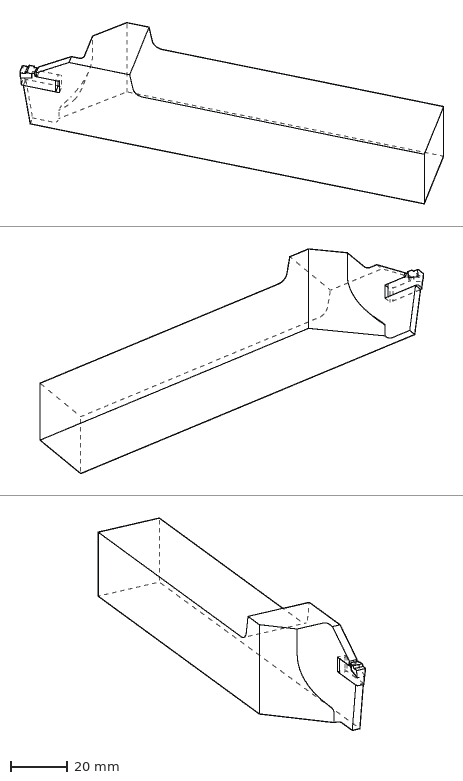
import cadquery as cq
import math

LENGTH = 149.9
SHANK = 25.0
HEIGHT = 35.0
BLADE_WIDTH = 3.1

BASE_START = 3.9
FRONT_EDGE_X = 1.3
NOSE_X = 6.0
NOSE_Z = 26.2
TOP_START = 18.3
TOP_END = 40.8
HEEL_X = 42.6
HEEL_RADIUS = 3.7

SLOT_FLOOR = 18.7
SLOT_ROOF = 24.5
SLOT_END = 14.7
SLOT_MOUTH_X = 6.5

WALL_X = 22.6
WALL_RADIUS = 25.0
RUNOUT_RADIUS = 3.0
RUNOUT_ANGLE = math.radians(49)
ROOT_RADIUS = 1.5
BEVEL = 32.5

TIP_RELIEF = 0.5
INSERT_END = 13.3
TIP_OVERHANG = 0.3
TIP_WIDTH = 3.9
TIP_LENGTH = 4.5
TIP_FRONT_DEPTH = 3.0
TIP_BACK_Z = 23.4
EDGE_Z = 25.0
CREST_Z = 25.8
CREST_START = 2.7
CHIP_FLOOR_END = 2.0
CREST_END = 5.4
SHOULDER_X = 5.7
TIP_FLUSH_Z = 21.9
CORNER_RADIUS = 0.6

MARGIN = 1.5


def extrude_along_y(outline, start, width):
    """Extrude an XZ outline from Y = start toward +Y."""
    return outline.extrude(-width).translate((0, start, 0))


def make_blank():
    """Shank and raised head, with the insert slot open at the front."""
    outline = (
        cq.Workplane("XZ")
        .moveTo(BASE_START, 0)
        .lineTo(LENGTH, 0)
        .lineTo(LENGTH, SHANK)
        .lineTo(HEEL_X, SHANK)
        .lineTo(TOP_END, HEIGHT)
        .lineTo(TOP_START, HEIGHT)
        .lineTo(NOSE_X, NOSE_Z)
        .lineTo(SLOT_MOUTH_X, SLOT_ROOF)
        .lineTo(SLOT_END, SLOT_ROOF)
        .lineTo(SLOT_END, SLOT_FLOOR)
        .lineTo(FRONT_EDGE_X, SLOT_FLOOR)
        .close()
    )
    blank = extrude_along_y(outline, 0, SHANK)
    heel = cq.selectors.NearestToPointSelector((HEEL_X, SHANK / 2, SHANK))
    return blank.edges(heel).fillet(HEEL_RADIUS)


def make_clearance():
    """Space behind the blade: a straight wall, a large arc and a tangent runout to the base."""
    def arc_point(angle):
        return (
            WALL_X - WALL_RADIUS * (1 - math.cos(angle)),
            SHANK - WALL_RADIUS * math.sin(angle),
        )

    arc_end_x, arc_end_z = arc_point(RUNOUT_ANGLE)
    foot_x = arc_end_x - RUNOUT_RADIUS * (1 - math.cos(RUNOUT_ANGLE))
    foot_z = arc_end_z - RUNOUT_RADIUS * math.sin(RUNOUT_ANGLE)
    half_angle = RUNOUT_ANGLE / 2
    runout_middle = (
        foot_x + RUNOUT_RADIUS * (1 - math.cos(half_angle)),
        foot_z + RUNOUT_RADIUS * math.sin(half_angle),
    )
    outline = (
        cq.Workplane("XZ")
        .moveTo(-MARGIN, HEIGHT + MARGIN)
        .lineTo(WALL_X, HEIGHT + MARGIN)
        .lineTo(WALL_X, SHANK)
        .threePointArc(arc_point(half_angle), (arc_end_x, arc_end_z))
        .threePointArc(runout_middle, (foot_x, foot_z))
        .lineTo(foot_x, -MARGIN)
        .lineTo(-MARGIN, -MARGIN)
        .close()
    )
    clearance = extrude_along_y(outline, BLADE_WIDTH, SHANK)
    wall_root = cq.selectors.BoxSelector(
        (foot_x - MARGIN, BLADE_WIDTH - MARGIN, -MARGIN),
        (WALL_X + MARGIN, BLADE_WIDTH + MARGIN, HEIGHT + MARGIN / 2),
    )
    return clearance.edges(wall_root).fillet(ROOT_RADIUS)


def make_bevel():
    """Wedge that cuts the 45 degree bevel through the full height."""
    return (
        cq.Workplane("XY")
        .moveTo(BEVEL, SHANK)
        .lineTo(BEVEL - SHANK, 0)
        .lineTo(-MARGIN, 0)
        .lineTo(-MARGIN, SHANK)
        .close()
        .extrude(HEIGHT)
        .intersect(
            cq.Workplane("XY").box(LENGTH, SHANK, HEIGHT, centered=False)
            .translate((-MARGIN, BLADE_WIDTH, 0))
        )
    )


def make_insert():
    """Flat insert body with a wider cutting tip, resting on the slot floor."""
    body_outline = (
        cq.Workplane("XZ")
        .moveTo(TIP_RELIEF, SLOT_FLOOR)
        .lineTo(INSERT_END, SLOT_FLOOR)
        .lineTo(INSERT_END, SLOT_ROOF)
        .lineTo(SHOULDER_X, SLOT_ROOF)
        .lineTo(CREST_END, CREST_Z)
        .lineTo(CREST_START, CREST_Z)
        .lineTo(CHIP_FLOOR_END, EDGE_Z)
        .lineTo(0, EDGE_Z)
        .close()
    )
    relief_slope = TIP_RELIEF / (EDGE_Z - SLOT_FLOOR)
    tip_outline = (
        cq.Workplane("XZ")
        .moveTo(0, EDGE_Z)
        .lineTo(CHIP_FLOOR_END, EDGE_Z)
        .lineTo(CREST_START, CREST_Z)
        .lineTo(TIP_LENGTH, CREST_Z)
        .lineTo(TIP_LENGTH, TIP_BACK_Z)
        .lineTo(TIP_FRONT_DEPTH * relief_slope, EDGE_Z - TIP_FRONT_DEPTH)
        .close()
    )
    tip_back = TIP_WIDTH - TIP_OVERHANG
    tip_section = (
        cq.Workplane("YZ")
        .moveTo(-TIP_OVERHANG, CREST_Z)
        .lineTo(0, TIP_FLUSH_Z)
        .lineTo(BLADE_WIDTH, TIP_FLUSH_Z)
        .lineTo(tip_back, CREST_Z)
        .close()
        .extrude(TIP_LENGTH)
    )
    body = extrude_along_y(body_outline, 0, BLADE_WIDTH)
    body = body.faces("<X").edges("<Y or >Y").fillet(CORNER_RADIUS)
    tip = extrude_along_y(tip_outline, -TIP_OVERHANG, TIP_WIDTH)
    tip = tip.faces("<X").edges("<Y or >Y").fillet(CORNER_RADIUS)
    return body.union(tip.intersect(tip_section))


holder = make_blank().cut(make_bevel()).cut(make_clearance())
insert = make_insert()

result = cq.Compound.makeCompound([holder.val(), insert.val()])